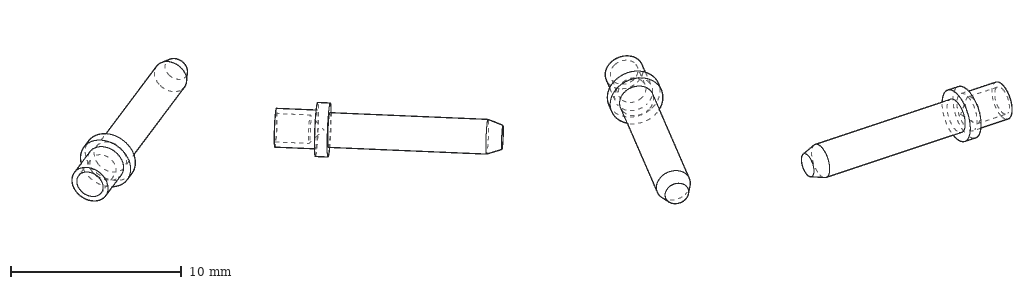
import cadquery as cq
import math

total_length = 13.31

barrel_diameter = 2.29
barrel_length = 2.4
hole_diameter = 1.66
hole_depth = 2.0
drill_point_angle = 90.0

flange_diameter = 3.18
flange_thickness = 0.75

pin_diameter = 2.05
tip_diameter = 1.42
taper_length = 0.89

barrel_end = -total_length / 2
flange_start = barrel_end + barrel_length
flange_end = flange_start + flange_thickness
tip_end = total_length / 2
taper_start = tip_end - taper_length


def revolve_about_y(half_profile):
    """Turn a closed (radius, y) outline into a solid around the Y axis."""
    outline = cq.Workplane("XY").polyline(half_profile).close()
    return outline.revolve(360, (0, 0, 0), (0, 1, 0))


def make_body():
    return revolve_about_y([
        (0, barrel_end),
        (barrel_diameter / 2, barrel_end),
        (barrel_diameter / 2, flange_start),
        (flange_diameter / 2, flange_start),
        (flange_diameter / 2, flange_end),
        (pin_diameter / 2, flange_end),
        (pin_diameter / 2, taper_start),
        (tip_diameter / 2, tip_end),
        (0, tip_end),
    ])


def make_drilled_hole():
    hole_radius = hole_diameter / 2
    wall_end = barrel_end + hole_depth
    cone_depth = hole_radius / math.tan(math.radians(drill_point_angle / 2))
    return revolve_about_y([
        (0, barrel_end),
        (hole_radius, barrel_end),
        (hole_radius, wall_end),
        (0, wall_end + cone_depth),
    ])


result = make_body().cut(make_drilled_hole())